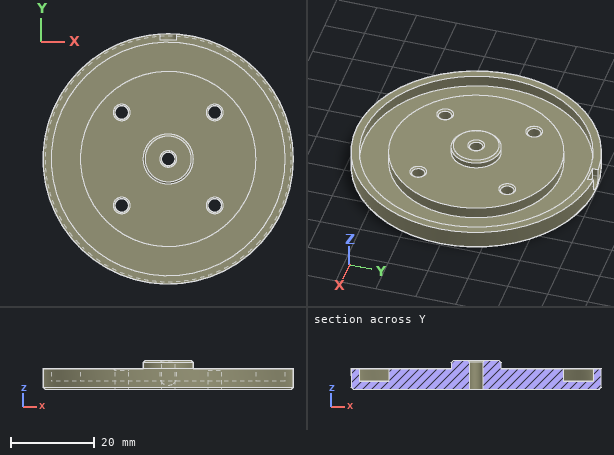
import cadquery as cq
import math

disc_diameter = 60.0
disc_height = 5.0
rim_thickness = 2.0
floor_thickness = 2.0
bottom_chamfer = 0.5

platform_diameter = 42.0
boss_diameter = 12.0
boss_height = 2.0
boss_chamfer = 0.5

hole_diameter = 3.2
hole_chamfer = 0.4
hole_circle_diameter = 31.5
hole_count = 4
first_hole_angle = 45.0

notch_width = 4.0
notch_depth = 1.5
notch_axis_height = 3.0

disc_radius = disc_diameter / 2
boss_top = disc_height + boss_height


def make_disc():
    """Dished disc with a chamfered lower edge and an annular recess."""
    disc = cq.Workplane("XY").circle(disc_radius).extrude(disc_height)
    disc = disc.faces("<Z").edges().chamfer(bottom_chamfer)
    recess = (
        cq.Workplane("XY", origin=(0, 0, floor_thickness))
        .circle(disc_radius - rim_thickness)
        .circle(platform_diameter / 2)
        .extrude(disc_height - floor_thickness)
    )
    return disc.cut(recess)


def make_boss():
    """Central boss, chamfered round its top, reaching down to the disc's underside."""
    boss = cq.Workplane("XY").circle(boss_diameter / 2).extrude(boss_top)
    return boss.faces(">Z").edges().chamfer(boss_chamfer)


def make_hole_cutter(top):
    """Through-hole cutter on the Z axis whose chamfer opens at height top."""
    radius = hole_diameter / 2
    profile = (
        cq.Workplane("XZ")
        .lineTo(radius, 0)
        .lineTo(radius, top - hole_chamfer)
        .lineTo(radius + hole_chamfer, top)
        .lineTo(0, top)
        .close()
    )
    return profile.revolve(360, (0, 0, 0), (0, 1, 0))


def make_notch_cutter():
    """U-shaped cutter that enters the rim from outside and stops inside its wall."""
    half_width = notch_width / 2
    return (
        cq.Workplane("XZ", origin=(0, disc_radius, 0))
        .moveTo(-half_width, disc_height)
        .lineTo(-half_width, notch_axis_height)
        .threePointArc((0, notch_axis_height - half_width), (half_width, notch_axis_height))
        .lineTo(half_width, disc_height)
        .close()
        .extrude(notch_depth)
    )


result = make_disc().union(make_boss())
result = result.cut(make_hole_cutter(boss_top))
for index in range(hole_count):
    hole_angle = math.radians(first_hole_angle + index * 360 / hole_count)
    hole_x = hole_circle_diameter / 2 * math.cos(hole_angle)
    hole_y = hole_circle_diameter / 2 * math.sin(hole_angle)
    result = result.cut(make_hole_cutter(disc_height).translate((hole_x, hole_y, 0)))
result = result.cut(make_notch_cutter())